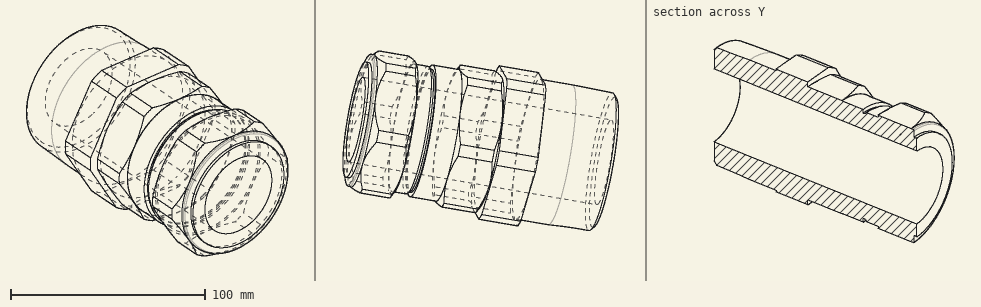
import cadquery as cq
import math

THREAD_CHAMFER_LENGTH = 1.7
TAPER_END = 23.2
HEX_START = 40.1
NUT_START = 60.7
SLEEVE_START = 82.9
GROOVE_START = 96.5
GROOVE_LENGTH = 0.9
COLLAR_CHAMFER_LENGTH = 1.3
CAP_START = 106.1
CAP_RIM_START = 127.7
CAP_END = 129.5
TOTAL_LENGTH = 131.2

BORE_DIAMETER = 44.3
THREAD_FACE_DIAMETER = 68.2
TAPER_SMALL_DIAMETER = 72.2
THREAD_DIAMETER = 73.3
SLEEVE_DIAMETER = 69.0
GROOVE_DIAMETER = 64.5
COLLAR_DIAMETER = 66.9
END_RING_DIAMETER = 60.4

BODY_FLATS = 75.0
BODY_CORNERS = 82.5
NUT_FLATS = 69.3
NUT_CORNERS = 76.6
NUT_CHAMFER_ANGLE = 30.0
CAP_END_CHAMFER_ANGLE = 45.0
CAP_RIM_ROUND = 0.7


def revolve_profile(points):
    """Revolve a closed profile of (x, radius) points about the X axis."""
    return cq.Workplane("XY").polyline(points).close().revolve(360, (0, 0, 0), (1, 0, 0))


def hexagon_bar(start, end, across_flats):
    """Hexagonal bar along X with two flats facing up and down."""
    across_corners = across_flats / math.cos(math.radians(30))
    return cq.Workplane("YZ", origin=(start, 0, 0)).polygon(6, across_corners).extrude(end - start)


def chamfered_hexagon(start, end, start_angle, end_angle):
    """Nut hexagon with rounded corners and a cone at each end that starts at the flats."""
    face_radius = NUT_FLATS / 2
    corner_radius = NUT_CORNERS / 2
    rise = corner_radius - face_radius
    envelope = revolve_profile([
        (start, 0),
        (start, face_radius),
        (start + rise * math.tan(math.radians(start_angle)), corner_radius),
        (end - rise * math.tan(math.radians(end_angle)), corner_radius),
        (end, face_radius),
        (end, 0),
    ])
    return hexagon_bar(start, end, NUT_FLATS).intersect(envelope)


groove_end = GROOVE_START + GROOVE_LENGTH
core = revolve_profile([
    (0, 0),
    (0, THREAD_FACE_DIAMETER / 2),
    (THREAD_CHAMFER_LENGTH, TAPER_SMALL_DIAMETER / 2),
    (TAPER_END, THREAD_DIAMETER / 2),
    (HEX_START, THREAD_DIAMETER / 2),
    (HEX_START, SLEEVE_DIAMETER / 2),
    (GROOVE_START, SLEEVE_DIAMETER / 2),
    (GROOVE_START, GROOVE_DIAMETER / 2),
    (groove_end, GROOVE_DIAMETER / 2),
    (groove_end + COLLAR_CHAMFER_LENGTH, COLLAR_DIAMETER / 2),
    (CAP_START, COLLAR_DIAMETER / 2),
    (CAP_START, END_RING_DIAMETER / 2),
    (TOTAL_LENGTH, END_RING_DIAMETER / 2),
    (TOTAL_LENGTH, 0),
])

corner_cylinder = cq.Workplane("YZ", origin=(HEX_START, 0, 0)).circle(BODY_CORNERS / 2)
corner_cylinder = corner_cylinder.extrude(NUT_START - HEX_START)
body_hexagon = hexagon_bar(HEX_START, NUT_START, BODY_FLATS).intersect(corner_cylinder)

middle_nut = chamfered_hexagon(NUT_START, SLEEVE_START, NUT_CHAMFER_ANGLE, NUT_CHAMFER_ANGLE)
cap_nut = chamfered_hexagon(CAP_START, CAP_RIM_START, NUT_CHAMFER_ANGLE, CAP_END_CHAMFER_ANGLE)
cap_rim = cq.Workplane("YZ", origin=(CAP_RIM_START, 0, 0)).circle(NUT_FLATS / 2)
cap_rim = cap_rim.extrude(CAP_END - CAP_RIM_START).faces(">X").edges().fillet(CAP_RIM_ROUND)

bore = cq.Workplane("YZ").circle(BORE_DIAMETER / 2).extrude(TOTAL_LENGTH)

result = core.union(body_hexagon).union(middle_nut).union(cap_nut).union(cap_rim).cut(bore)